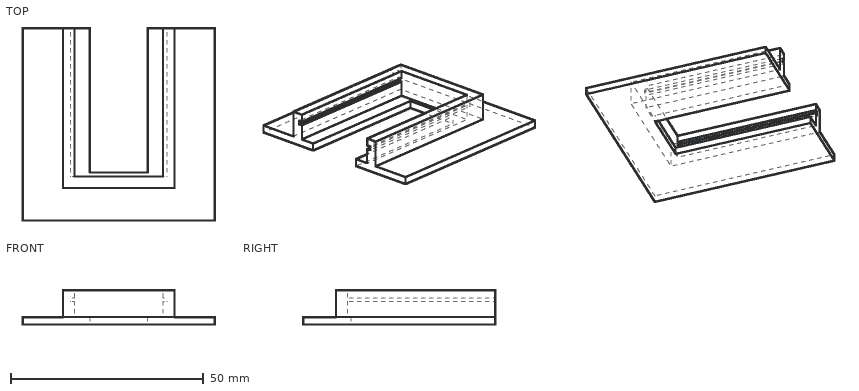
import cadquery as cq

plate_size = 50.0
plate_thickness = 2.0
total_height = 9.0

pocket_width = 23.0
wall_thickness = 3.0
front_margin = 8.5

opening_width = 15.0
front_ledge = 1.0

groove_height = 1.0
groove_depth = 1.0
lip_height = 2.0

back_y = plate_size / 2
wall_width = pocket_width + 2 * wall_thickness
wall_front_y = -plate_size / 2 + front_margin
pocket_front_y = wall_front_y + wall_thickness
opening_front_y = pocket_front_y + front_ledge
groove_bottom_z = total_height - lip_height - groove_height


def block_to_back(width, front_y, bottom_z, height):
    """Box centred in X, running from front_y to the back edge of the plate."""
    length = back_y - front_y
    return (
        cq.Workplane("XY")
        .box(width, length, height, centered=(True, False, False))
        .translate((0, front_y, bottom_z))
    )


def make_plate():
    return block_to_back(plate_size, -plate_size / 2, 0, plate_thickness)


def make_wall_block():
    return block_to_back(wall_width, wall_front_y, 0, total_height)


def make_pocket():
    pocket_depth = total_height - plate_thickness
    return block_to_back(pocket_width, pocket_front_y, plate_thickness, pocket_depth)


def make_opening():
    return block_to_back(opening_width, opening_front_y, 0, plate_thickness)


def make_side_grooves():
    """Slab wider than the pocket, so it cuts a groove into both side walls."""
    groove_span = pocket_width + 2 * groove_depth
    return block_to_back(groove_span, pocket_front_y, groove_bottom_z, groove_height)


result = (
    make_plate()
    .union(make_wall_block())
    .cut(make_pocket())
    .cut(make_opening())
    .cut(make_side_grooves())
)